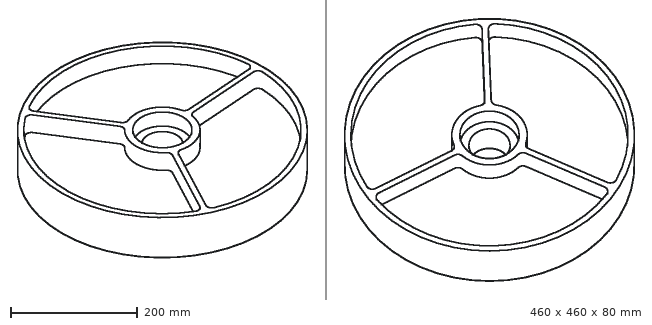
import cadquery as cq

outer_diameter = 460
height = 80.0
rim_thickness = 10.0

hub_radius = 60
counterbore_radius = 47.0
counterbore_depth = 28.0
bore_radius = 32.5

rib_count = 3
rib_width = 10.0
first_rib_angle = 90
pocket_depth = 35.0
pocket_corner_radius = 10.0

rim_inner_radius = outer_diameter / 2 - rim_thickness
pocket_floor = height - pocket_depth


def disc(radius, bottom, depth):
    """Solid cylinder on the wheel axis."""
    return cq.Workplane("XY").workplane(offset=bottom).circle(radius).extrude(depth)


def rib(angle):
    """Radial rib block reaching from the axis past the rim."""
    return (
        cq.Workplane("XY")
        .workplane(offset=pocket_floor)
        .rect(outer_diameter, rib_width)
        .extrude(pocket_depth)
        .translate((outer_diameter / 2, 0, 0))
        .rotate((0, 0, 0), (0, 0, 1), angle)
    )


def make_pockets():
    """Ring between hub and rim, split by the ribs and rounded at its upright corners."""
    pockets = disc(rim_inner_radius, pocket_floor, pocket_depth)
    pockets = pockets.cut(disc(hub_radius, pocket_floor, pocket_depth))
    for index in range(rib_count):
        pockets = pockets.cut(rib(first_rib_angle + index * 360 / rib_count))
    return pockets.edges("|Z").fillet(pocket_corner_radius)


wheel = disc(outer_diameter / 2, 0, height).cut(make_pockets())
wheel = wheel.cut(disc(counterbore_radius, height - counterbore_depth, counterbore_depth))
result = wheel.cut(disc(bore_radius, 0, height))